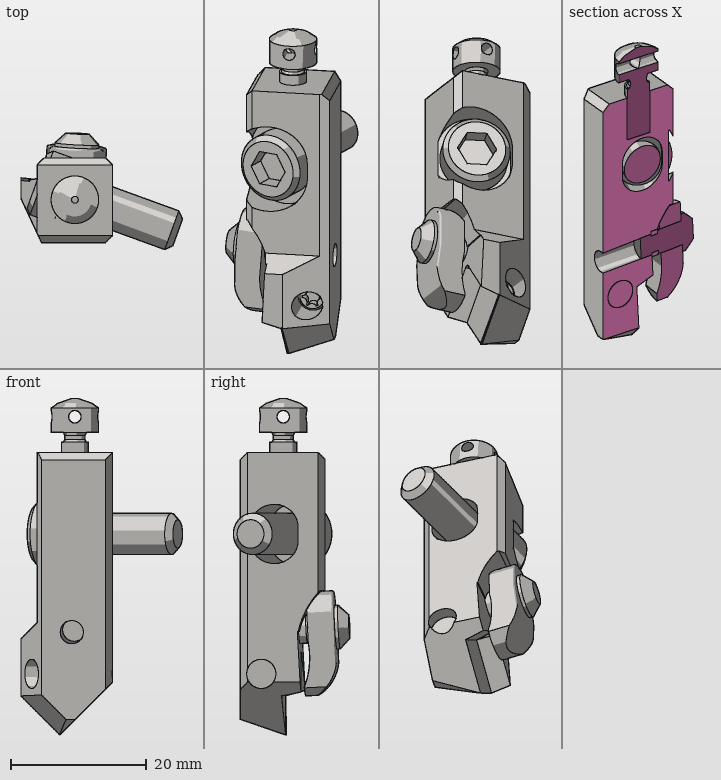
import cadquery as cq
import math


OVERSIZE = 40.0

half_width = 5.57
front_y = -6.35
back_y = 6.15
front_chamfer = 1.1
back_chamfer = 1.0
slant_angle = 25.0
slant_start_x = -4.91
bulge_x = -7.96
bulge_top_z = -25.05
tip = cq.Vector(-2.2, 0.35, -41.6)
clearance = math.tan(math.radians(19.0))
land_y = 0.2

tilt = math.tan(math.radians(3.0))
clamp_origin = cq.Vector(0, 2.35, -26.0)
clamp_axis = cq.Vector(tilt, 1, tilt)
across = cq.Vector(1, -tilt, 0)
seat_relief = 11.0

mount_angle = math.radians(20.0)
mount_axis = cq.Vector(math.cos(mount_angle), -math.sin(mount_angle), 0)
mount_across = cq.Vector(math.sin(mount_angle), math.cos(mount_angle), 0)
mount_seat = cq.Vector(-1.455, 1.23, -12.0)
mount_radius = 3.05
mount_length = 17.67
mount_end_chamfer = 0.95
mount_head_radius = 5.0
mount_head_height = 4.4
mount_head_chamfer = 0.75
hex_flats = 5.0
hex_depth = 2.8
hex_turn = 30.0
counterbore_radius = 5.5
clearance_radius = 3.3
slot_travel = 2.1

adjuster_radius = 2.0
adjuster_end_z = mount_seat.z + mount_head_radius
neck_radius = 1.5
neck_flare = 0.22
neck_bottom_z = 1.5
knob_bottom_z = 2.95
neck_straight_z = (1.87, 2.5)
knob_radius = 3.5
knob_profile = ((knob_radius, 6.54), (2.5, 7.25), (0.5, 7.95))
cross_hole_radius = 0.9
cross_hole_z = 5.25

set_screw_radius = 2.15
set_screw_y = -3.23
set_screw_z = -32.6
set_screw_start_x = -2.2
set_screw_length = 6.0
set_screw_chamfer = 0.35
lobe_count = 6
lobe_radius = 1.5
lobe_gap_radius = 0.75
lobe_gap_centre = 1.75
lobe_depth = 1.5

shank_radius = 2.0
thread_depth = 2.0
thread_radius = 1.7
ring_radius = 2.15
ring_bore_radius = 1.5
ring_height = 1.1
flange_radius = 3.25
flange_height = 0.5
cone_top_radius = 1.75
cone_height = 1.5

clamp_bottom = 1.45
clamp_top = 5.4
clamp_edge_radius = 0.35
heel_top = (3.6, 5.45)
heel_middle = (1.3, 2.5)
heel_bottom = (0.14, -0.35)
tail_half_width = 3.9
tail_up = 2.3
tail_end = 5.4
shoulder_half_width = 4.4
shoulder_down = -2.2
nose_half_width = 3.1
nose_down = -8.7
nose_end = -9.9
belly_middle = (1.4, -5.5)
belly_end = (0.45, -8.6)
brow_start = (clamp_top, -5.2)
brow_middle = (4.25, -8.1)
brow_end = (2.1, -10.0)


def clamp_plane(height=0.0):
    """Plane across the clamp axis, with its local Y pointing up the cartridge."""
    origin = clamp_origin + clamp_axis.normalized() * height
    return cq.Plane(origin, -across, clamp_axis)


def clamp_side_plane():
    """Plane holding the clamp axis as local X, with local Y pointing up the cartridge."""
    return cq.Plane(clamp_origin, clamp_axis, across)


def clamp_cylinder(radius, bottom, top):
    return cq.Workplane(clamp_plane(bottom)).circle(radius).extrude(top - bottom)


def beyond(point, normal):
    """Large block on the outer side of a plane."""
    plane = cq.Plane(point, normal=normal)
    return cq.Workplane(plane).rect(2 * OVERSIZE, 2 * OVERSIZE).extrude(OVERSIZE)


def mount_plane(offset=0.0):
    """Plane across the mounting screw, with its local Y pointing up."""
    return cq.Plane(mount_seat + mount_axis * offset, mount_across, mount_axis)


def make_blank():
    """Chamfered block with the widened, slanted lower end."""
    slant = math.tan(math.radians(slant_angle))
    side_y = front_y + (slant_start_x + half_width) / slant
    bulge_y = front_y + (slant_start_x - bulge_x) / slant
    height = -tip.z

    block = (
        cq.Workplane("XY")
        .polyline([
            (slant_start_x, front_y),
            (half_width - front_chamfer, front_y),
            (half_width, front_y + front_chamfer),
            (half_width, back_y - back_chamfer),
            (half_width - back_chamfer, back_y),
            (-half_width + back_chamfer, back_y),
            (-half_width, back_y - back_chamfer),
            (-half_width, side_y),
        ])
        .close()
        .extrude(-height)
    )
    block = block.faces(">Z").edges("<Y").chamfer(front_chamfer)
    block = block.faces(">Z").edges(">Y").chamfer(back_chamfer)

    bulge = (
        cq.Workplane("XY")
        .polyline([
            (slant_start_x, front_y),
            (0, front_y),
            (0, back_y - back_chamfer),
            (bulge_x, back_y - back_chamfer),
            (bulge_x, bulge_y),
        ])
        .close()
        .extrude(-height)
        .cut(beyond((-half_width, 0, bulge_top_z), (-1, 0, 1)))
        .cut(cq.Workplane("XY").box(OVERSIZE, OVERSIZE, -2 * bulge_top_z))
    )
    return block.union(bulge)


def shape_tip(body):
    """Pointed lower end with relieved left flank and nose."""
    flank_point = (tip.x, land_y, tip.z)
    body = body.cut(beyond(tip, (1, 0, -1)))
    body = body.cut(beyond(tip, (-1, 0, -1)))
    body = body.cut(beyond(flank_point, (-1, -clearance * math.sqrt(2), -1)))
    return body.cut(beyond(tip, (0, -clearance, -1)))


def clamp_seat_cutter():
    """Space above the clamp seat, bounded at the top by the curved heel wall."""
    return (
        cq.Workplane(clamp_side_plane())
        .moveTo(*heel_top)
        .threePointArc(heel_middle, heel_bottom)
        .lineTo(0, heel_bottom[1])
        .lineTo(0, -OVERSIZE)
        .lineTo(OVERSIZE, -OVERSIZE)
        .lineTo(OVERSIZE, heel_top[1])
        .close()
        .extrude(OVERSIZE, both=True)
    )


def insert_pocket_cutter():
    """Square pocket standing on its corner, with walls that lean outward."""
    half_diagonal = tip.x - bulge_x
    centre = tip + cq.Vector(0, 0, half_diagonal)
    centre.y -= tilt * half_diagonal
    plane = cq.Plane(centre, -across, clamp_axis)
    return (
        cq.Workplane(plane)
        .polyline([(half_diagonal, 0), (0, half_diagonal), (-half_diagonal, 0), (0, -half_diagonal)])
        .close()
        .extrude(back_y, taper=-seat_relief)
    )


def mount_slot(radius, length):
    """Upright slot along the mounting screw, starting at the face under its head."""
    slot = cq.Workplane(mount_plane())
    return slot.slot2D(slot_travel + 2 * radius, 2 * radius, 90).extrude(length)


def make_cartridge():
    body = shape_tip(make_blank())
    body = body.cut(clamp_seat_cutter())
    body = body.cut(insert_pocket_cutter())
    body = body.cut(mount_slot(counterbore_radius, -OVERSIZE))
    body = body.cut(mount_slot(clearance_radius, OVERSIZE))
    body = body.cut(cq.Workplane("XY").circle(adjuster_radius).extrude(adjuster_end_z))
    body = body.cut(clamp_cylinder(ring_radius, 0, OVERSIZE))
    body = body.cut(clamp_cylinder(thread_radius, -OVERSIZE, 0))
    set_screw_hole = (
        cq.Workplane("YZ", origin=(0, set_screw_y, set_screw_z))
        .circle(set_screw_radius)
        .extrude(OVERSIZE, both=True)
    )
    return body.cut(set_screw_hole)


def make_mounting_screw():
    shank = cq.Workplane(mount_plane()).circle(mount_radius).extrude(mount_length)
    shank = shank.faces(cq.selectors.DirectionMinMaxSelector(mount_axis)).chamfer(mount_end_chamfer)
    head = cq.Workplane(mount_plane()).circle(mount_head_radius).extrude(-mount_head_height)
    head = head.faces(cq.selectors.DirectionMinMaxSelector(-mount_axis)).chamfer(mount_head_chamfer)
    socket = (
        cq.Workplane(mount_plane(-mount_head_height))
        .transformed(rotate=(0, 0, hex_turn))
        .polygon(6, hex_flats, circumscribed=True)
        .extrude(hex_depth)
    )
    return head.union(shank).cut(socket)


def make_adjusting_screw():
    flared_radius = neck_radius + neck_flare
    screw = (
        cq.Workplane("XZ")
        .polyline([
            (0, adjuster_end_z),
            (adjuster_radius, adjuster_end_z),
            (adjuster_radius, neck_bottom_z),
            (flared_radius, neck_bottom_z),
            (neck_radius, neck_straight_z[0]),
            (neck_radius, neck_straight_z[1]),
            (flared_radius, knob_bottom_z),
            (knob_radius, knob_bottom_z),
            *knob_profile,
            (0, knob_profile[-1][1]),
        ])
        .close()
        .revolve(360, (0, 0, 0), (0, 1, 0))
    )
    for side in ("XZ", "YZ"):
        hole = cq.Workplane(side).center(0, cross_hole_z).circle(cross_hole_radius)
        screw = screw.cut(hole.extrude(OVERSIZE, both=True))
    return screw


def make_set_screw():
    """Headless screw with a six-lobe socket facing -X."""
    face = cq.Workplane("YZ", origin=(set_screw_start_x, set_screw_y, set_screw_z))
    screw = face.circle(set_screw_radius).extrude(set_screw_length)
    screw = screw.faces("<X").chamfer(set_screw_chamfer)
    gap_centres = face.polarArray(lobe_gap_centre, 180 / lobe_count, 360, lobe_count)
    gaps = gap_centres.circle(lobe_gap_radius).extrude(lobe_depth)
    socket = face.circle(lobe_radius).extrude(lobe_depth).cut(gaps)
    return screw.cut(socket)


def make_clamp():
    """Clamp outlined in plan, trimmed to its curved side profile and to the seat."""
    plan = (
        cq.Workplane(clamp_plane())
        .moveTo(-tail_half_width, tail_up)
        .threePointArc((0, tail_end), (tail_half_width, tail_up))
        .lineTo(shoulder_half_width, shoulder_down)
        .lineTo(nose_half_width, nose_down)
        .threePointArc((0, nose_end), (-nose_half_width, nose_down))
        .lineTo(-shoulder_half_width, shoulder_down)
        .close()
        .extrude(clamp_top)
    )
    plan = plan.faces(cq.selectors.DirectionMinMaxSelector(clamp_axis)).edges().fillet(clamp_edge_radius)
    profile = (
        cq.Workplane(clamp_side_plane())
        .moveTo(clamp_bottom, shoulder_down)
        .threePointArc(belly_middle, belly_end)
        .lineTo(belly_end[0], -OVERSIZE)
        .lineTo(brow_end[0], -OVERSIZE)
        .lineTo(*brow_end)
        .threePointArc(brow_middle, brow_start)
        .lineTo(OVERSIZE, brow_start[1])
        .lineTo(OVERSIZE, OVERSIZE)
        .lineTo(clamp_bottom, OVERSIZE)
        .close()
        .extrude(OVERSIZE, both=True)
        .intersect(clamp_seat_cutter())
    )
    return plan.intersect(profile).cut(clamp_cylinder(shank_radius, 0, OVERSIZE))


def make_clamp_screw():
    """Flanged screw with a conical head and a groove for the ring."""
    flange_top = clamp_top + flange_height
    cone = (
        cq.Workplane(clamp_plane(flange_top))
        .circle(flange_radius)
        .workplane(offset=cone_height)
        .circle(cone_top_radius)
        .loft(ruled=True)
    )
    return (
        clamp_cylinder(flange_radius, clamp_top, flange_top)
        .union(cone)
        .union(clamp_cylinder(shank_radius, ring_height, clamp_top))
        .union(clamp_cylinder(ring_bore_radius, 0, ring_height))
        .union(clamp_cylinder(thread_radius, -thread_depth, 0))
    )


def make_ring():
    bore = clamp_cylinder(ring_bore_radius, 0, ring_height)
    return clamp_cylinder(ring_radius, 0, ring_height).cut(bore)


cartridge = make_cartridge()
mounting_screw = make_mounting_screw()
adjusting_screw = make_adjusting_screw()
set_screw = make_set_screw()
clamp = make_clamp()
clamp_screw = make_clamp_screw()
ring = make_ring()

result = cq.Compound.makeCompound([
    cartridge.val(),
    mounting_screw.val(),
    adjusting_screw.val(),
    set_screw.val(),
    clamp.val(),
    clamp_screw.val(),
    ring.val(),
])